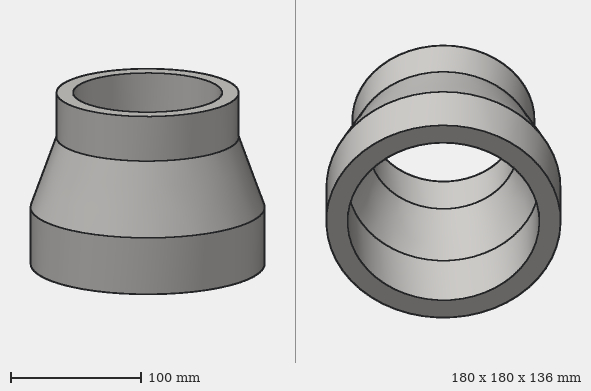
import cadquery as cq

total_height = 136.0

base_diameter = 180.0
base_height = 45.0
neck_diameter = 140.0
neck_height = 35.5

base_bore_diameter = 147.2
base_bore_depth = 53.1
neck_bore_diameter = 114.5
neck_bore_depth = 36.9


def stepped_cone(lower_diameter, lower_height, upper_diameter, upper_height):
    """Full-height solid of revolution: lower cylinder, cone, upper cylinder."""
    lower_radius = lower_diameter / 2
    upper_radius = upper_diameter / 2
    half_section = [
        (0, 0),
        (lower_radius, 0),
        (lower_radius, lower_height),
        (upper_radius, total_height - upper_height),
        (upper_radius, total_height),
        (0, total_height),
    ]
    return cq.Workplane("XZ").polyline(half_section).close().revolve(360, (0, 0), (0, 1))


outer_body = stepped_cone(base_diameter, base_height, neck_diameter, neck_height)
flow_passage = stepped_cone(
    base_bore_diameter, base_bore_depth, neck_bore_diameter, neck_bore_depth
)

result = outer_body.cut(flow_passage)